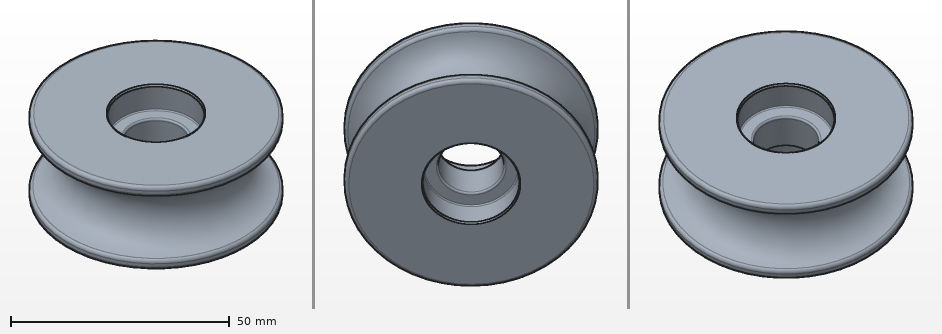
import cadquery as cq
import math

outer_radius = 29.0
width = 23.4
half_width = width / 2

rim_fillet = 1.0
groove_bottom_radius = 21.0
groove_arc_radius = 9.0

bore_radius = 7.5
bore_fillet = 0.5
seat_radius = 11.0
seat_depth = 7.0
mouth_chamfer_width = 0.3
mouth_chamfer_depth = 0.5
seat_floor_fillet = 0.3


def make_roller_body():
    """Revolve the grooved outline, with rim rounds tangent to the groove arc."""
    groove_center_r = groove_bottom_radius + groove_arc_radius
    rim_center_r = outer_radius - rim_fillet
    center_distance = groove_arc_radius + rim_fillet
    rim_center_z = math.sqrt(center_distance**2 - (groove_center_r - rim_center_r) ** 2)

    share = groove_arc_radius / center_distance
    tangent_r = groove_center_r + share * (rim_center_r - groove_center_r)
    tangent_z = share * rim_center_z

    end_angle = math.atan2(rim_center_z - tangent_z, rim_center_r - tangent_r)
    mid_angle = (math.pi - end_angle) / 2
    round_mid_r = rim_center_r + rim_fillet * math.cos(mid_angle)
    round_mid_z = rim_center_z - rim_fillet * math.sin(mid_angle)

    outline = (
        cq.Workplane("XZ")
        .moveTo(0, -half_width)
        .lineTo(outer_radius, -half_width)
        .lineTo(outer_radius, -rim_center_z)
        .threePointArc((round_mid_r, -round_mid_z), (tangent_r, -tangent_z))
        .threePointArc((groove_bottom_radius, 0), (tangent_r, tangent_z))
        .threePointArc((round_mid_r, round_mid_z), (outer_radius, rim_center_z))
        .lineTo(outer_radius, half_width)
        .lineTo(0, half_width)
        .close()
    )
    body = outline.revolve(360, (0, 0, 0), (0, 1, 0))
    return body.faces("<Z or >Z").edges().fillet(rim_fillet)


def make_center_cutter():
    """Bore with a bearing seat at both ends; bore edges rounded, seat mouths chamfered."""
    seat_floor_z = half_width - seat_depth
    bore = cq.Workplane("XY").circle(bore_radius).extrude(half_width, both=True)
    bore_mouth = (
        cq.Workplane("XZ")
        .moveTo(0, seat_floor_z)
        .lineTo(bore_radius + bore_fillet, seat_floor_z)
        .radiusArc((bore_radius, seat_floor_z - bore_fillet), -bore_fillet)
        .lineTo(0, seat_floor_z - bore_fillet)
        .close()
        .revolve(360, (0, 0, 0), (0, 1, 0))
    )
    seat = (
        cq.Workplane("XY")
        .workplane(offset=seat_floor_z)
        .circle(seat_radius)
        .extrude(seat_depth)
        .faces("<Z")
        .edges()
        .fillet(seat_floor_fillet)
    )
    seat_mouth = (
        cq.Workplane("XY")
        .workplane(offset=half_width)
        .circle(seat_radius + mouth_chamfer_width)
        .workplane(offset=-mouth_chamfer_depth)
        .circle(seat_radius)
        .loft(ruled=True)
    )
    end_cutter = seat.union(bore_mouth).union(seat_mouth)
    return bore.union(end_cutter).union(end_cutter.mirror("XY"))


result = make_roller_body().cut(make_center_cutter())